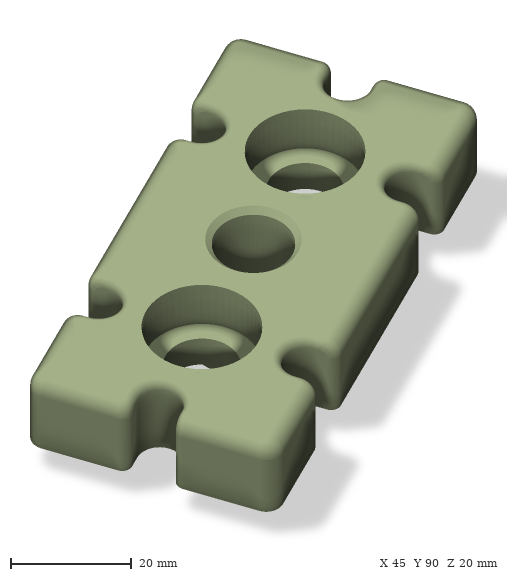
import cadquery as cq

WIDTH = 45.0
LENGTH = 90.0
PLATE_HEIGHT = 15.0
BOSS_HEIGHT = 5.0
BOSS_DIAMETER = 25.0
EDGE_RADIUS = 3.0

BOLT_SPACING = LENGTH / 2
BOLT_DIAMETER = 13.0
COUNTERBORE_DIAMETER = 20.0
COUNTERBORE_DEPTH = 9.0

CENTER_BORE_DIAMETER = 13.84
CENTER_MOUTH_DIAMETER = 16.0

NOTCH_WIDTH = 8.0
NOTCH_CENTER_DEPTH = 4.0
NOTCH_RIM_RADIUS = 1.75
MATCH_TOLERANCE = 0.01

NOTCH_X = WIDTH / 2 - NOTCH_CENTER_DEPTH
NOTCH_Y = LENGTH / 2 - NOTCH_CENTER_DEPTH
NOTCHES = [(0, side * NOTCH_Y, 0, side) for side in (-1, 1)]
for row in (-1, 1):
    for side in (-1, 1):
        NOTCHES.append((side * NOTCH_X, row * BOLT_SPACING / 2, side, 0))


def rounded_plate():
    """Plate with its underside on Z = 0, rounded at the corners and top edges."""
    plate = cq.Workplane("XY").box(WIDTH, LENGTH, PLATE_HEIGHT, centered=(True, True, False))
    plate = plate.edges("|Z").fillet(EDGE_RADIUS)
    return plate.faces(">Z").edges().fillet(EDGE_RADIUS)


def notch_cutter(x, y, mouth_x, mouth_y):
    """U-shaped cutter with a round inner end, open toward the plate side."""
    run = 2 * NOTCH_CENTER_DEPTH
    round_end = cq.Workplane("XY").center(x, y).circle(NOTCH_WIDTH / 2).extrude(PLATE_HEIGHT)
    channel = (
        cq.Workplane("XY")
        .center(x + mouth_x * run / 2, y + mouth_y * run / 2)
        .rect(run if mouth_x else NOTCH_WIDTH, run if mouth_y else NOTCH_WIDTH)
        .extrude(PLATE_HEIGHT)
    )
    return round_end.union(channel)


def round_notch_rim(plate, x, y, mouth_x, mouth_y):
    """Round the edges where a notch meets the top and the side of the plate."""
    half_width = NOTCH_WIDTH / 2
    rim = []
    for edge in plate.edges().vals():
        box = edge.BoundingBox()
        reach = max(abs(box.xmin - x), abs(box.xmax - x), abs(box.ymin - y), abs(box.ymax - y))
        near_notch = reach < half_width + MATCH_TOLERANCE
        middle = edge.Center()
        outward = (middle.x - x) * mouth_x + (middle.y - y) * mouth_y
        at_mouth = outward > NOTCH_CENTER_DEPTH - MATCH_TOLERANCE
        above_underside = box.zmax > MATCH_TOLERANCE
        inner_vertical = box.zmin < MATCH_TOLERANCE and not at_mouth
        if near_notch and above_underside and not inner_vertical:
            rim.append(edge)
    return plate.newObject(rim).fillet(NOTCH_RIM_RADIUS)


def add_notches(plate):
    """Cut every notch, then round their rims."""
    for notch in NOTCHES:
        plate = plate.cut(notch_cutter(*notch))
    for notch in NOTCHES:
        plate = round_notch_rim(plate, *notch)
    return plate


def add_boss(plate):
    """Round boss centred under the plate."""
    boss = cq.Workplane("XY").circle(BOSS_DIAMETER / 2).extrude(-BOSS_HEIGHT)
    return plate.union(boss)


def cut_bolt_holes(body):
    """Two counterbored through holes on the long axis."""
    top = cq.Workplane("XY", origin=(0, 0, PLATE_HEIGHT))
    centers = [(0, side * BOLT_SPACING / 2) for side in (-1, 1)]
    holes = top.pushPoints(centers).circle(BOLT_DIAMETER / 2).extrude(-PLATE_HEIGHT)
    counterbores = top.pushPoints(centers).circle(COUNTERBORE_DIAMETER / 2).extrude(-COUNTERBORE_DEPTH)
    return body.cut(holes).cut(counterbores)


def cut_center_bore(body):
    """Through bore with a 45 degree lead-in at the top."""
    bore_radius = CENTER_BORE_DIAMETER / 2
    mouth_radius = CENTER_MOUTH_DIAMETER / 2
    lead_in = mouth_radius - bore_radius
    cutter = (
        cq.Workplane("XZ")
        .moveTo(0, -BOSS_HEIGHT)
        .lineTo(bore_radius, -BOSS_HEIGHT)
        .lineTo(bore_radius, PLATE_HEIGHT - lead_in)
        .lineTo(mouth_radius, PLATE_HEIGHT)
        .lineTo(0, PLATE_HEIGHT)
        .close()
        .revolve(360, (0, 0, 0), (0, 1, 0))
    )
    return body.cut(cutter)


body = add_boss(add_notches(rounded_plate()))
result = cut_center_bore(cut_bolt_holes(body))